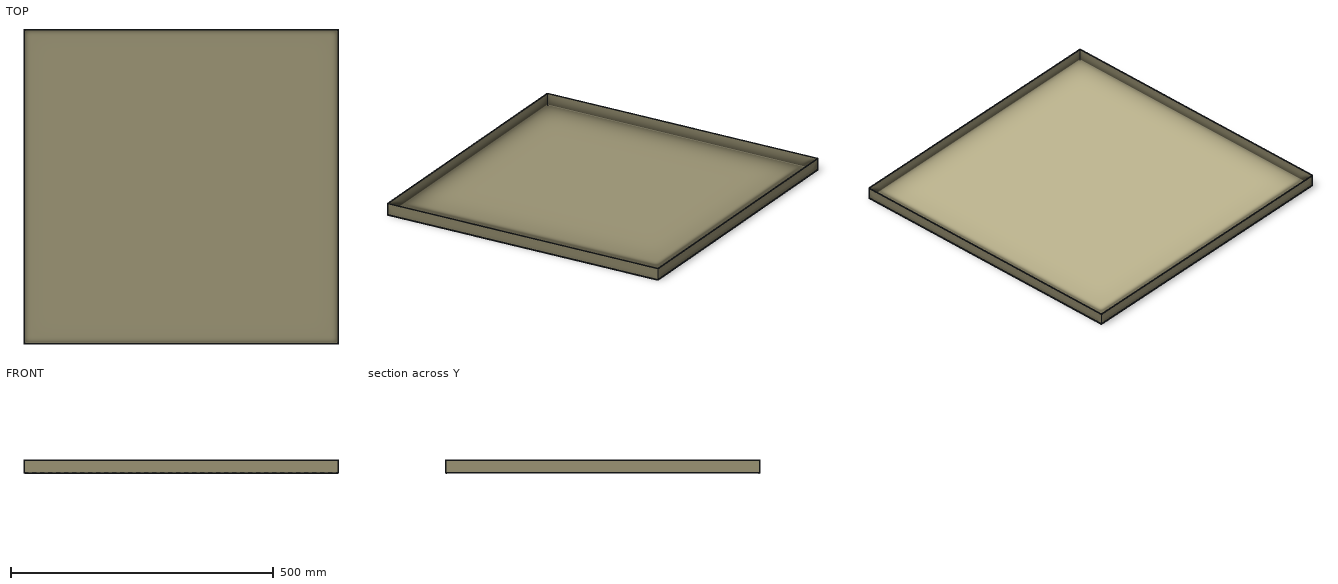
import cadquery as cq

side_length = 600.0
tray_height = 25.0
sheet_thickness = 1.2

inner_length = side_length - 2 * sheet_thickness
inner_bend_radius = sheet_thickness
outer_bend_radius = inner_bend_radius + sheet_thickness
outer_corner_radius = sheet_thickness


def square_block(length, base_z):
    """Square block from base_z up to the rim of the tray."""
    return (
        cq.Workplane("XY")
        .workplane(offset=base_z)
        .rect(length, length)
        .extrude(tray_height - base_z)
    )


def round_bottom(block, radius):
    """Round the edges around the bottom face."""
    return block.faces("<Z").edges().fillet(radius)


def make_outside():
    """Outer form: slightly rounded upright corners and a bend around the floor."""
    block = square_block(side_length, 0.0).edges("|Z").fillet(outer_corner_radius)
    return round_bottom(block, outer_bend_radius)


def make_inside():
    """Hollow of the tray: sharp upright corners and a bend around the floor."""
    return round_bottom(square_block(inner_length, sheet_thickness), inner_bend_radius)


result = make_outside().cut(make_inside())